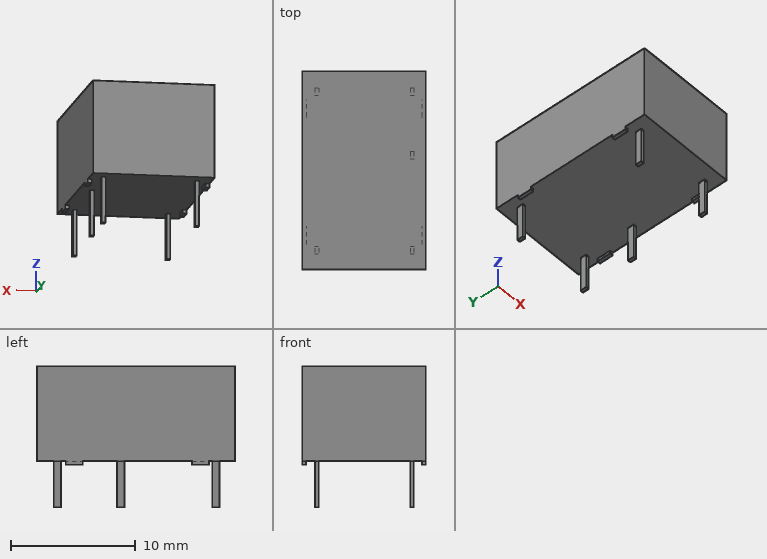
import cadquery as cq

body_width = 9.9
body_length = 15.9
total_height = 11.3
pin_length = 3.7
body_height = total_height - pin_length

pin_thickness = 0.3
pin_width = 0.6
row_spacing = 7.62
row_offset = 0.03
end_pin_spacing = 12.7
end_pin_offset = -0.05
middle_pin_distance = 0.6 * end_pin_spacing

pad_width = 0.32
pad_length = 1.38
pad_height = 0.3
pad_spacing = 10.13
pad_offset = -0.11


def hanging_block(x, y, width, length, height):
    """Block centred at (x, y) that hangs down from the underside of the case."""
    return (
        cq.Workplane("XY")
        .center(x, y)
        .rect(width, length)
        .extrude(-height)
    )


result = cq.Workplane("XY").rect(body_width, body_length).extrude(body_height)

left_row = row_offset - row_spacing / 2
right_row = row_offset + row_spacing / 2
front_pin = end_pin_offset - end_pin_spacing / 2
back_pin = end_pin_offset + end_pin_spacing / 2
middle_pin = front_pin + middle_pin_distance
pin_places = [
    (left_row, front_pin),
    (left_row, back_pin),
    (right_row, front_pin),
    (right_row, middle_pin),
    (right_row, back_pin),
]
for x, y in pin_places:
    result = result.union(hanging_block(x, y, pin_thickness, pin_width, pin_length))

for side in (-1, 1):
    for end in (-1, 1):
        x = side * (body_width - pad_width) / 2
        y = pad_offset + end * pad_spacing / 2
        result = result.union(hanging_block(x, y, pad_width, pad_length, pad_height))